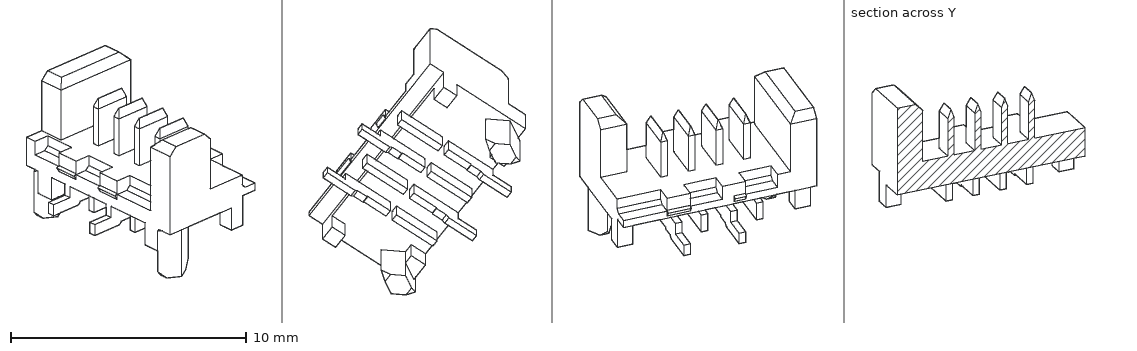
import cadquery as cq


length = 8.86
depth = 4.99
base_height = 1.36
rear_step_depth = 0.71
rear_step_height = 0.35

wall_top = 4.1
wall_thickness = 1.205
wall_chamfer = 0.35
left_wall_depth = 4.1
right_wall_depth = 2.38

ledge_z = 0.71
ledge_depth = 0.74
ledge_slope_size = 0.18
front_ledge_margin = 0.53
rear_ledge_margin = 1.8

tab_width = 1.06
bead_top = 0.75
bead_peak = 0.67
bead_bottom = 0.47
bead_reach = 0.12

pin_count = 4
pin_pitch = 1.27
pin_width = 0.31
pin_depth = 1.67
pin_top = 3.52
pin_tip_height = 0.4
pin_ridge_width = 0.02
pin_tip_inset = (pin_width - pin_ridge_width) / 2
tail_reach = 0.96
tail_top = -0.53
tail_bottom = -1.06
stem_bottom = -0.85
tail_recess_bottom = -0.93
tail_recess_end = 1.14
stem_gap = 0.32
stub_setback = 0.2
tail_bevel_start = 0.5

foot_height = 1.06
front_foot_end = 1.56
rear_foot_width = 0.71
rear_foot_depth = 0.68
peg_inset_x = 0.61
peg_inset_y = 0.75
peg_half_width = 0.53
peg_half_depth = 0.9
peg_length = 2.295
peg_chamfer = 0.35

half_length = length / 2
half_depth = depth / 2
pin_positions = [(i - (pin_count - 1) / 2) * pin_pitch for i in range(pin_count)]
front_pins = pin_positions[0::2]
rear_pins = pin_positions[1::2]


def box(x_range, y_range, z_range):
    """Box spanning the given (low, high) ranges."""
    sizes = [high - low for low, high in (x_range, y_range, z_range)]
    corner = (x_range[0], y_range[0], z_range[0])
    return cq.Workplane("XY").box(*sizes, centered=False).translate(corner)


def extrude_along_x(points, x_low, x_high):
    """Solid with a (Y, Z) outline between two X positions."""
    return cq.Workplane("YZ", origin=(x_low, 0, 0)).polyline(points).close().extrude(x_high - x_low)


def turn_to_rear(solid):
    """Mirror a front-edge feature to the rear edge."""
    return solid.mirror("XZ")


def make_ledge(x_low, x_high, tab_centers):
    """Front-edge cutter with a sloped inner corner, leaving a tab at each center."""
    inner = -half_depth + ledge_depth
    outline = [
        (-half_depth, base_height),
        (-half_depth, ledge_z),
        (inner - ledge_slope_size, ledge_z),
        (inner, ledge_z + ledge_slope_size),
        (inner, base_height),
    ]
    ledge = extrude_along_x(outline, x_low, x_high)
    for x in tab_centers:
        ledge = ledge.cut(
            box((x - tab_width / 2, x + tab_width / 2), (-half_depth, inner), (0, base_height))
        )
    return ledge


def make_bead(x_low, x_high):
    """Triangular latch bead on the front face of a tab."""
    outline = [
        (-half_depth, bead_top),
        (-half_depth - bead_reach, bead_peak),
        (-half_depth, bead_bottom),
    ]
    return extrude_along_x(outline, x_low, x_high)


def make_wall(x_range, y_range, inner_side):
    """Guide wall with its top edges chamfered on all sides but the outer one."""
    wall = box(x_range, y_range, (0, wall_top))
    return wall.faces(">Z").edges(f"|X or {inner_side}X").chamfer(wall_chamfer)


def make_pin(x):
    """Upright blade with all four sides tapering to a narrow ridge."""
    shoulder = pin_top - pin_tip_height
    half_width = pin_width / 2
    half_blade = pin_depth / 2
    side = [
        (-half_blade, 0),
        (half_blade, 0),
        (half_blade, shoulder),
        (half_blade - pin_tip_inset, pin_top),
        (pin_tip_inset - half_blade, pin_top),
        (-half_blade, shoulder),
    ]
    front = [
        (x - half_width, 0),
        (x + half_width, 0),
        (x + half_width, shoulder),
        (x + pin_ridge_width / 2, pin_top),
        (x - pin_ridge_width / 2, pin_top),
        (x - half_width, shoulder),
    ]
    blade = extrude_along_x(side, x - half_width, x + half_width)
    taper = cq.Workplane("XZ").polyline(front).close().extrude(half_blade, both=True)
    return blade.intersect(taper)


def make_contact_tail(x):
    """Solder tail leaving at the front and, across a gap, a plain stub towards the rear.

    The underside of the tail rises in a bevel, a flat and a small upright step.
    """
    bevel = tail_recess_bottom - tail_bottom
    bevel_y = -half_depth + tail_bevel_start
    tail_outline = [
        (-stem_gap / 2, 0),
        (-half_depth, 0),
        (-half_depth, tail_top),
        (-half_depth - tail_reach, tail_top),
        (-half_depth - tail_reach, tail_bottom),
        (bevel_y, tail_bottom),
        (bevel_y + bevel, tail_recess_bottom),
        (-half_depth + tail_recess_end, tail_recess_bottom),
        (-half_depth + tail_recess_end, stem_bottom),
        (-stem_gap / 2, stem_bottom),
    ]
    x_range = (x - pin_width / 2, x + pin_width / 2)
    tail = extrude_along_x(tail_outline, *x_range)
    stub = box(x_range, (stem_gap / 2, half_depth - stub_setback), (stem_bottom, 0))
    return [tail, stub]


def make_left_supports():
    """Front foot, rear foot and rhombic locating peg at the left end."""
    peg_x = -half_length + peg_inset_x
    peg_y = -half_depth + peg_inset_y
    front_foot = box((peg_x, -half_length + front_foot_end), (-half_depth, peg_y), (-foot_height, 0))
    rear_foot_back = half_depth - rear_step_depth
    rear_foot = box(
        (-half_length, -half_length + rear_foot_width),
        (rear_foot_back - rear_foot_depth, rear_foot_back),
        (-foot_height, 0),
    )
    rhombus = [
        (peg_x - peg_half_width, peg_y),
        (peg_x, peg_y - peg_half_depth),
        (peg_x + peg_half_width, peg_y),
        (peg_x, peg_y + peg_half_depth),
    ]
    peg = cq.Workplane("XY").polyline(rhombus).close().extrude(-peg_length)
    lead_in = [
        (peg_y - peg_half_depth, 0),
        (peg_y - peg_half_depth, peg_chamfer - peg_length),
        (peg_y - peg_half_depth + peg_chamfer, -peg_length),
        (peg_y + peg_half_depth - peg_chamfer, -peg_length),
        (peg_y + peg_half_depth, peg_chamfer - peg_length),
        (peg_y + peg_half_depth, 0),
    ]
    peg = peg.intersect(extrude_along_x(lead_in, peg_x - peg_half_width, peg_x + peg_half_width))
    return front_foot.union(rear_foot).union(peg)


right_wall_inner = half_length - wall_thickness
result = box((-half_length, half_length), (-half_depth, half_depth), (0, base_height))
result = result.cut(make_ledge(-half_length + front_ledge_margin, right_wall_inner, front_pins))
result = result.cut(
    turn_to_rear(make_ledge(-half_length + rear_ledge_margin, half_length, rear_pins))
)

left_wall = make_wall(
    (-half_length, -half_length + wall_thickness),
    (half_depth - left_wall_depth, half_depth),
    ">",
)
right_wall = make_wall(
    (right_wall_inner, half_length),
    (-half_depth, -half_depth + right_wall_depth),
    "<",
)
result = result.union(left_wall).union(right_wall)

rear_step = box(
    (-half_length, half_length),
    (half_depth - rear_step_depth, half_depth),
    (0, rear_step_height),
)
result = result.cut(rear_step)

for x in front_pins:
    result = result.union(make_bead(x - tab_width / 2, x + tab_width / 2))
for x, bead_end in zip(rear_pins, (0, tab_width / 2)):
    result = result.union(turn_to_rear(make_bead(x - tab_width / 2, x + bead_end)))

for x in pin_positions:
    result = result.union(make_pin(x))
for x in front_pins:
    for piece in make_contact_tail(x):
        result = result.union(piece)
for x in rear_pins:
    for piece in make_contact_tail(x):
        result = result.union(turn_to_rear(piece))

left_supports = make_left_supports()
result = result.union(left_supports).union(left_supports.mirror("YZ"))